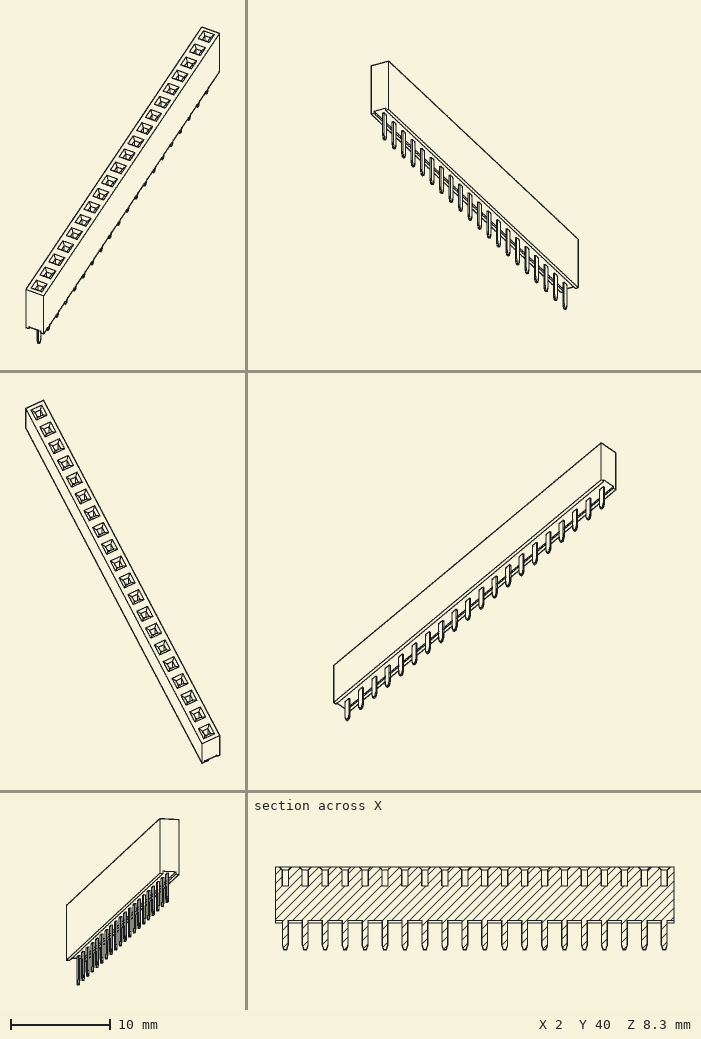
import cadquery as cq

contact_count = 20
pitch = 2.0
strip_length = contact_count * pitch
strip_width = 2.0
body_height = 5.65
total_height = 8.3

rail_width = 0.34
channel_depth = 0.25

mouth_size = 1.2
throat_size = 0.6
lead_in_depth = (mouth_size - throat_size) / 2
throat_depth = 3.6

blade_thickness = 0.15
blade_width = 0.6
tail_tip_width = 0.3
tail_taper_height = 0.5
stub_height = 2.0

body_bottom = total_height - body_height
channel_top = body_bottom + channel_depth
throat_floor = total_height - lead_in_depth - throat_depth

contact_positions = [(index - (contact_count - 1) / 2) * pitch for index in range(contact_count)]


def block(size_x, size_y, z_low, z_high):
    """Box centred on the Z axis between two heights."""
    return cq.Workplane("XY", origin=(0, 0, z_low)).box(
        size_x, size_y, z_high - z_low, centered=(True, True, False)
    )


def make_body():
    body = block(strip_width, strip_length, body_bottom, total_height)
    channel = block(strip_width - 2 * rail_width, strip_length, body_bottom, channel_top)
    return body.cut(channel)


def make_socket():
    lead_in = (
        cq.Workplane("XY", origin=(0, 0, total_height))
        .rect(mouth_size, mouth_size)
        .workplane(offset=-lead_in_depth)
        .rect(throat_size, throat_size)
        .loft(combine=True)
    )
    throat = block(throat_size, throat_size, throat_floor, total_height - lead_in_depth)
    return lead_in.union(throat)


def make_contact():
    """Flat blade in the YZ plane with a tapered tail tip."""
    half_width = blade_width / 2
    half_tip = tail_tip_width / 2
    blade_top = throat_floor + stub_height
    outline = [
        (-half_tip, 0),
        (half_tip, 0),
        (half_width, tail_taper_height),
        (half_width, blade_top),
        (-half_width, blade_top),
        (-half_width, tail_taper_height),
    ]
    return cq.Workplane("YZ").polyline(outline).close().extrude(blade_thickness / 2, both=True)


def repeat_along_strip(feature):
    copies = [feature.val().moved(cq.Location(cq.Vector(0, y, 0))) for y in contact_positions]
    return cq.Workplane("XY").newObject([cq.Compound.makeCompound(copies)])


result = make_body().cut(repeat_along_strip(make_socket())).union(repeat_along_strip(make_contact()))